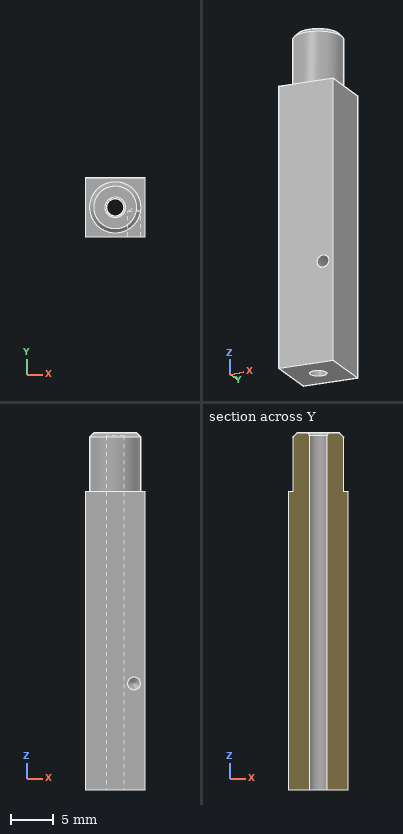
import cadquery as cq
import math

body_width = 7.0
body_height = 35.0

spigot_diameter = 6.0
spigot_tip_diameter = 5.0
total_height = 41.9
spigot_height = total_height - body_height
tip_chamfer = (spigot_diameter - spigot_tip_diameter) / 2

bore_diameter = 2.0
countersink_diameter = 2.4
countersink_angle = 60.0
countersink_width = (countersink_diameter - bore_diameter) / 2
countersink_depth = countersink_width / math.tan(math.radians(countersink_angle / 2))

side_hole_diameter = 1.5
side_hole_x = 2.2
side_hole_z = 12.5
side_hole_straight_depth = 3.0
drill_point_angle = 118.0


def make_body():
    return cq.Workplane("XY").box(body_width, body_width, body_height, centered=(True, True, False))


def make_spigot():
    """Cylinder standing on the body, with a chamfered tip."""
    return (
        cq.Workplane("XY")
        .workplane(offset=body_height)
        .circle(spigot_diameter / 2)
        .extrude(spigot_height)
        .faces(">Z")
        .edges()
        .chamfer(tip_chamfer)
    )


def make_bore():
    """Through bore with its countersink, as a revolved half profile (radius, height)."""
    bore_radius = bore_diameter / 2
    return (
        cq.Workplane("XZ")
        .moveTo(0, 0)
        .lineTo(bore_radius, 0)
        .lineTo(bore_radius, total_height - countersink_depth)
        .lineTo(countersink_diameter / 2, total_height)
        .lineTo(0, total_height)
        .close()
        .revolve(360, (0, 0, 0), (0, 1, 0))
    )


def make_side_hole():
    """Drilled hole with a conical bottom, running in +Y from the -Y face."""
    radius = side_hole_diameter / 2
    point_length = radius / math.tan(math.radians(drill_point_angle / 2))
    face_y = -body_width / 2
    shoulder_y = face_y + side_hole_straight_depth
    return (
        cq.Workplane("XY")
        .workplane(offset=side_hole_z)
        .moveTo(side_hole_x, face_y)
        .lineTo(side_hole_x + radius, face_y)
        .lineTo(side_hole_x + radius, shoulder_y)
        .lineTo(side_hole_x, shoulder_y + point_length)
        .close()
        .revolve(360, (side_hole_x, 0, 0), (side_hole_x, 1, 0))
    )


result = make_body().union(make_spigot()).cut(make_bore()).cut(make_side_hole())